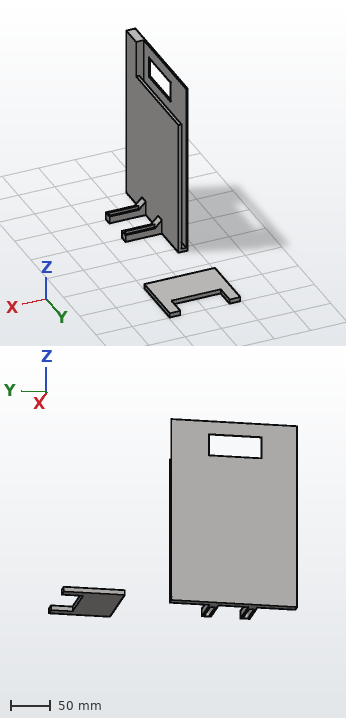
import cadquery as cq

total_length = 300.0

plate_width = 97.0
plate_depth = 78.0
plate_thickness = 6.3
notch_width = 67.5
notch_depth = 27.3

panel_x = 10.0
panel_width = 160.5
panel_height = 237.0
panel_thickness = 12.5
front_sheet = 2.0
slot_width = 6.3
slot_floor = 4.8
end_block = 30.3
back_wall_drop = 5.7

window_width = 67.2
window_height = 27.5
window_top_margin = 17.0
window_side_margin = 48.0
window_sill = panel_height - window_top_margin - window_height
back_wall_height = window_sill - back_wall_drop

foot_length = 49.8
foot_width = 11.7
foot_height = 10.0
foot_spacing = 49.5
first_foot_y = 54.3
gusset_length = 10.0
gusset_height = 19.8
foot_slot_width = 6.3
foot_slot_length = 40.8
foot_slot_tip_margin = 1.5


def box_at(x, y, z, size_x, size_y, size_z):
    """Box placed by its low corner."""
    return cq.Workplane("XY").box(size_x, size_y, size_z, centered=False).translate((x, y, z))


def make_notched_plate():
    """Flat plate with a rectangular notch centred in its +Y edge."""
    plate_y = total_length - plate_depth
    plate = box_at(0, plate_y, 0, plate_width, plate_depth, plate_thickness)
    notch = box_at(
        (plate_width - notch_width) / 2, total_length - notch_depth, 0,
        notch_width, notch_depth, plate_thickness,
    )
    return plate.cut(notch)


def make_panel():
    """Full-height front sheet and end block, with a lower back wall and a slot between them."""
    panel = box_at(panel_x, 0, 0, panel_thickness, panel_width, panel_height)
    open_length = panel_width - end_block
    slot_x = panel_x + front_sheet

    above_back_wall = box_at(
        slot_x, end_block, back_wall_height,
        panel_thickness - front_sheet, open_length, panel_height - back_wall_height,
    )
    slot = box_at(slot_x, end_block, slot_floor, slot_width, open_length, panel_height - slot_floor)
    window = box_at(
        panel_x, panel_width - window_side_margin - window_width, window_sill,
        front_sheet, window_width, window_height,
    )
    return panel.cut(above_back_wall).cut(slot).cut(window)


def make_foot(center_y):
    """Foot with a sloped gusset against the panel and a round-ended slot through it."""
    back_x = panel_x + panel_thickness
    tip_x = back_x + foot_length
    gusset_end_x = back_x + gusset_length
    foot = (
        cq.Workplane("XZ", origin=(0, center_y, 0))
        .moveTo(back_x, 0)
        .lineTo(tip_x, 0)
        .lineTo(tip_x, foot_height)
        .lineTo(gusset_end_x, foot_height)
        .lineTo(back_x, gusset_height)
        .close()
        .extrude(foot_width / 2, both=True)
    )
    slot_center_x = tip_x - foot_slot_tip_margin - foot_slot_length / 2
    slot = (
        cq.Workplane("XY", origin=(slot_center_x, center_y, 0))
        .slot2D(foot_slot_length, foot_slot_width)
        .extrude(gusset_height)
    )
    return foot.cut(slot)


def make_stand():
    """Upright panel joined with its two feet."""
    stand = make_panel()
    for center_y in (first_foot_y, first_foot_y + foot_spacing):
        stand = stand.union(make_foot(center_y))
    return stand


notched_plate = make_notched_plate()
stand = make_stand()

result = cq.Compound.makeCompound([notched_plate.val(), stand.val()])